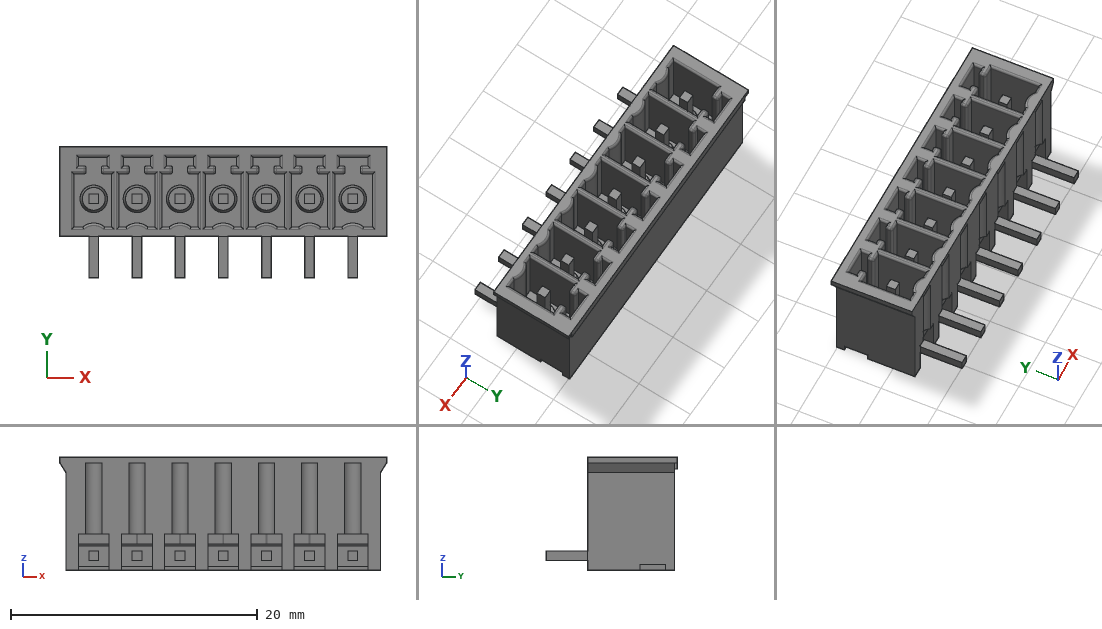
import cadquery as cq
import math


pin_count = 7
pitch = 3.5
pin_xs = [(i - (pin_count - 1) / 2) * pitch for i in range(pin_count)]

rim_length = 26.5
rim_overhang = 0.5
body_length = rim_length - 2 * rim_overhang
body_depth = 7.05
body_height = 9.2
rim_height = 0.48
rim_taper_height = 0.8
lip_depth = 0.25
lip_height = 0.98

cavity_floor = 2.97
chamber_front = 0.77
chamber_back = 5.05
chamber_half_width = 1.45
slot_front = 5.72
slot_back = 6.4
slot_half_width = 1.09
rib_gap_half_width = 0.6
end_chamber_extra = 0.15
end_slot_extra = 0.13
edge_radius = 0.2
selection_margin = 0.03

pocket_width = 2.5
pocket_height = 2.95
ledge_depth = 0.42
ledge_bottom = 2.15
pocket_depth = 1.43
bevel_depth = 0.1
bevel_height = 0.15
undercut_height = 0.32
undercut_depth = 1.75

groove_radius = 0.72
groove_sliver_width = 0.08
groove_axis_y = ledge_depth - math.sqrt(groove_radius**2 - (groove_sliver_width / 2) ** 2)
groove_top = 8.72
groove_wall = 0.65
bulge_radius = groove_radius + groove_wall

pin_size = 0.8
pin_y = 3.05
pin_z = 1.2
pin_reach = 3.37
pin_top = 7.9
collar_base_radius = 1.1
collar_top_radius = 0.93
collar_height = 0.8

notch_front = 4.25
notch_back = 6.33
notch_height = 0.48
notch_depth = 0.53


def box(x_range, y_range, z_range):
    (x0, x1), (y0, y1), (z0, z1) = x_range, y_range, z_range
    return cq.Workplane("XY").box(x1 - x0, y1 - y0, z1 - z0, centered=False).translate((x0, y0, z0))


def around(centre, half_width):
    return (centre - half_width, centre + half_width)


def make_body():
    """Solid block with tapered rim overhangs at both ends and a lip along the back."""
    half_rim = rim_length / 2
    half_body = body_length / 2
    rim_bottom = body_height - rim_height
    taper_bottom = rim_bottom - rim_taper_height
    block = (
        cq.Workplane("XZ")
        .moveTo(-half_body, 0)
        .lineTo(half_body, 0)
        .lineTo(half_body, taper_bottom)
        .lineTo(half_rim, rim_bottom)
        .lineTo(half_rim, body_height)
        .lineTo(-half_rim, body_height)
        .lineTo(-half_rim, rim_bottom)
        .lineTo(-half_body, taper_bottom)
        .close()
        .extrude(-body_depth)
    )
    lip_y = (body_depth, body_depth + lip_depth)
    rim_lip = box((-half_rim, half_rim), lip_y, (rim_bottom, body_height))
    back_lip = box((-half_body, half_body), lip_y, (body_height - lip_height, body_height))
    return block.union(rim_lip).union(back_lip)


def make_cavity(x, is_first, is_last):
    """Negative of one cavity; the end cavities are wider towards the ends of the body."""
    chamber_x = (
        x - chamber_half_width - end_chamber_extra * is_first,
        x + chamber_half_width + end_chamber_extra * is_last,
    )
    slot_x = (
        x - slot_half_width - end_slot_extra * is_first,
        x + slot_half_width + end_slot_extra * is_last,
    )
    cavity_z = (cavity_floor, body_height)
    chamber = box(chamber_x, (chamber_front, chamber_back), cavity_z)
    slot = box(slot_x, (slot_front, slot_back), cavity_z)
    rib_gap = box(around(x, rib_gap_half_width), (chamber_back, slot_front), cavity_z)
    rib_tips = cq.selectors.BoxSelector(
        (x - rib_gap_half_width - selection_margin, chamber_back - selection_margin, cavity_floor),
        (x + rib_gap_half_width + selection_margin, slot_front + selection_margin, body_height),
    )
    cavity = chamber.union(slot).union(rib_gap).edges("|Z").edges(rib_tips).fillet(edge_radius)
    bulge = (
        cq.Workplane("XY", origin=(x, groove_axis_y, cavity_floor))
        .circle(bulge_radius)
        .extrude(body_height - cavity_floor)
    )
    return cavity.cut(bulge)


def round_cavity_mouths(body):
    """Round every top edge that lies inside the outer outline of the rim."""
    mouth_edges = cq.selectors.BoxSelector(
        (-body_length / 2, selection_margin, body_height - selection_margin),
        (body_length / 2, body_depth, body_height + selection_margin),
    )
    return body.edges(mouth_edges).fillet(edge_radius)


def make_groove(x, bottom):
    return (
        cq.Workplane("XY", origin=(x, groove_axis_y, bottom))
        .circle(groove_radius)
        .extrude(groove_top - bottom)
    )


def make_pocket(x):
    """Negative of one front pocket, drawn as its side profile and open at the front and bottom."""
    return (
        cq.Workplane("YZ", origin=(x, 0, 0))
        .lineTo(undercut_depth, 0)
        .lineTo(undercut_depth, undercut_height)
        .lineTo(pocket_depth, undercut_height)
        .lineTo(pocket_depth, ledge_bottom - bevel_height)
        .lineTo(pocket_depth - bevel_depth, ledge_bottom)
        .lineTo(ledge_depth, ledge_bottom)
        .lineTo(ledge_depth, pocket_height)
        .lineTo(0, pocket_height)
        .close()
        .extrude(pocket_width / 2, both=True)
    )


def make_end_notches():
    half_body = body_length / 2
    notch_y = (notch_front, notch_back)
    notch_z = (0, notch_height)
    left = box((-half_body, -half_body + notch_depth), notch_y, notch_z)
    right = box((half_body - notch_depth, half_body), notch_y, notch_z)
    return left.union(right)


def make_pin(x):
    """Bent pin: an upright post, a tail out of the front and a conical collar on the cavity floor."""
    half = pin_size / 2
    post = box(around(x, half), around(pin_y, half), (pin_z - half, pin_top))
    tail = box(around(x, half), (-pin_reach, pin_y + half), around(pin_z, half))
    foot = cq.Vector(x, pin_y, cavity_floor)
    collar = cq.Solid.makeCone(collar_base_radius, collar_top_radius, collar_height, pnt=foot)
    return post.union(tail).union(cq.Workplane(collar))


result = make_body()

for index, x in enumerate(pin_xs):
    result = result.cut(make_cavity(x, index == 0, index == pin_count - 1))
result = round_cavity_mouths(result)

for index, x in enumerate(pin_xs):
    is_inner = 0 < index < pin_count - 1
    groove_bottom = ledge_bottom if is_inner else pocket_height
    result = result.cut(make_pocket(x)).cut(make_groove(x, groove_bottom))
result = result.cut(make_end_notches())

for x in pin_xs:
    result = result.union(make_pin(x))